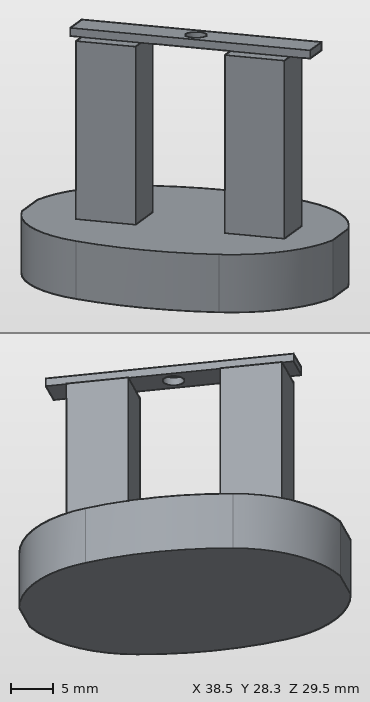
import cadquery as cq

base_length = 38.48
base_width = 28.35
base_height = 7.0
end_flat_length = 5.4
broad_arc_span = 17.7
broad_arc_rise = 1.08
corner_mid_x = 15.55
corner_mid_y = 9.35

post_width = 7.4
post_depth = 6.0
post_height = 21.5
post_spacing = 18.45
posts_center_x = 0.8
posts_center_y = -0.92

bar_length = 29.7
bar_width = 4.0
bar_thickness = 1.0
bar_center_x = 1.4
bar_center_y = -0.08
bar_hole_diameter = 2.55

post_top = base_height + post_height


def make_base_plate():
    """Oval plate, symmetric about X and Y, with its underside at Z = 0."""
    end_x = base_length / 2
    end_y = end_flat_length / 2
    broad_x = broad_arc_span / 2
    crown_y = base_width / 2
    broad_y = crown_y - broad_arc_rise
    return (
        cq.Workplane("XY")
        .moveTo(end_x, -end_y)
        .lineTo(end_x, end_y)
        .threePointArc((corner_mid_x, corner_mid_y), (broad_x, broad_y))
        .threePointArc((0, crown_y), (-broad_x, broad_y))
        .threePointArc((-corner_mid_x, corner_mid_y), (-end_x, end_y))
        .lineTo(-end_x, -end_y)
        .threePointArc((-corner_mid_x, -corner_mid_y), (-broad_x, -broad_y))
        .threePointArc((0, -crown_y), (broad_x, -broad_y))
        .threePointArc((corner_mid_x, -corner_mid_y), (end_x, -end_y))
        .close()
        .extrude(base_height)
    )


def make_post(center_x):
    """Rectangular post rising from the top of the base plate."""
    return (
        cq.Workplane("XY", origin=(center_x, posts_center_y, base_height))
        .rect(post_width, post_depth)
        .extrude(post_height)
    )


def make_bar():
    """Strip resting on the posts, with a round hole through its middle."""
    return (
        cq.Workplane("XY", origin=(bar_center_x, bar_center_y, post_top))
        .rect(bar_length, bar_width)
        .circle(bar_hole_diameter / 2)
        .extrude(bar_thickness)
    )


def make_frame():
    """Bar and both posts as one portal-shaped body standing on the base."""
    frame = make_bar()
    for side in (-1, 1):
        frame = frame.union(make_post(posts_center_x + side * post_spacing / 2))
    return frame


base = make_base_plate()
frame = make_frame()

result = cq.Compound.makeCompound([base.val(), frame.solids().val()])